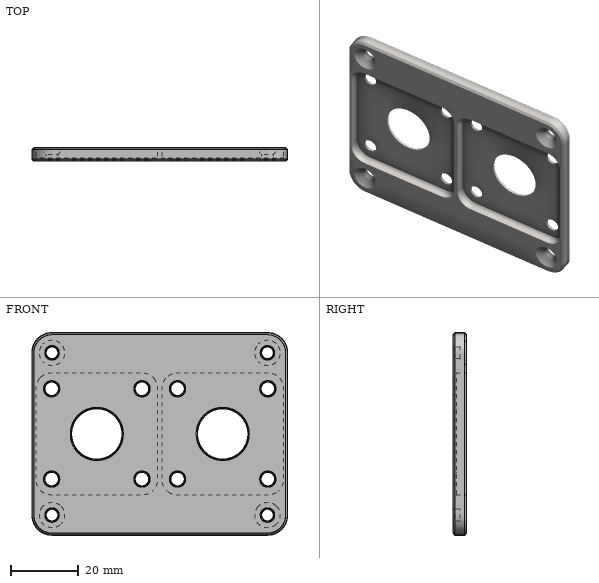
import cadquery as cq
import math

plate_length = 76.0
plate_height = 60.2
plate_thickness = 4.0
corner_radius = 6.0
edge_chamfer = 0.615
rim_chamfer = 0.4

bore_diameter = 15.0
bore_spacing = 37.4
mounting_hole_diameter = 4.0
mounting_hole_pitch = 26.8

pocket_side = 36.2
pocket_corner_radius = 4.55
floor_thickness = 1.0
pocket_depth = plate_thickness - floor_thickness

corner_hole_diameter = 3.5
countersink_diameter = 7.5
corner_hole_pitch_x = plate_length - 2 * corner_radius
corner_hole_pitch_z = plate_height - 2 * corner_radius

front_y = -plate_thickness / 2
back_y = plate_thickness / 2
bore_centers = [(-bore_spacing / 2, 0), (bore_spacing / 2, 0)]


def rectangle_points(center, pitch_x, pitch_z):
    """Four (x, z) points at the corners of a rectangle around a centre."""
    center_x, center_z = center
    return [
        (center_x + side_x * pitch_x / 2, center_z + side_z * pitch_z / 2)
        for side_x in (-1, 1)
        for side_z in (-1, 1)
    ]


def plane_at(y):
    """Workplane parallel to the plate, extruding towards the front (-Y)."""
    return cq.Workplane("XZ", origin=(0, y, 0))


def make_plate():
    """Plate with rounded corners and both face outlines chamfered."""
    return (
        plane_at(back_y)
        .rect(plate_length, plate_height)
        .extrude(plate_thickness)
        .edges("|Y")
        .fillet(corner_radius)
        .faces("<Y or >Y")
        .chamfer(edge_chamfer)
    )


def make_pockets():
    """Rounded square recesses cut from the back face."""
    return (
        plane_at(back_y)
        .pushPoints(bore_centers)
        .rect(pocket_side, pocket_side)
        .extrude(pocket_depth)
        .edges("|Y")
        .fillet(pocket_corner_radius)
    )


def make_flared_holes(centers, straight_diameter, flare_diameter, face_y):
    """Holes through the plate that open at 45 degrees to a flare diameter at one face."""
    straight_radius = straight_diameter / 2
    flare_radius = flare_diameter / 2
    flare_depth = flare_radius - straight_radius
    far_y = -face_y
    flare_end_y = face_y - math.copysign(flare_depth, face_y)
    hole = (
        cq.Workplane("XY")
        .moveTo(0, face_y)
        .lineTo(flare_radius, face_y)
        .lineTo(straight_radius, flare_end_y)
        .lineTo(straight_radius, far_y)
        .lineTo(0, far_y)
        .close()
        .revolve(360, (0, 0, 0), (0, 1, 0))
    )
    holes = cq.Workplane("XY")
    for x, z in centers:
        holes = holes.add(hole.translate((x, 0, z)))
    return holes.combine()


def make_chamfered_holes(centers, diameter):
    """Through holes with a small chamfer around the front rim."""
    return make_flared_holes(centers, diameter, diameter + 2 * rim_chamfer, front_y)


corner_hole_centers = rectangle_points((0, 0), corner_hole_pitch_x, corner_hole_pitch_z)
mounting_hole_centers = [
    point
    for center in bore_centers
    for point in rectangle_points(center, mounting_hole_pitch, mounting_hole_pitch)
]

result = (
    make_plate()
    .cut(make_pockets())
    .cut(make_chamfered_holes(bore_centers, bore_diameter))
    .cut(make_chamfered_holes(mounting_hole_centers, mounting_hole_diameter))
    .cut(make_chamfered_holes(corner_hole_centers, corner_hole_diameter))
    .cut(make_flared_holes(corner_hole_centers, corner_hole_diameter, countersink_diameter, back_y))
)